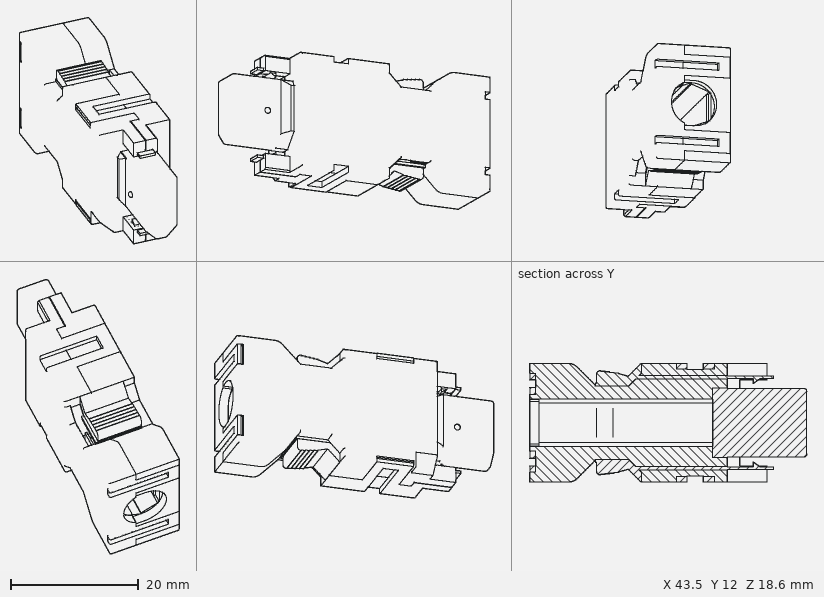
import cadquery as cq
import math

HALF_Y = 6.0
HALF_Z = 9.3
HOUSING_LENGTH = 32.97
EDGE_FILLET = 0.3

RECESS_FLOOR_Z = 5.8
RECESS_FLOOR_START = 10.45
RECESS_FLOOR_END = 15.5
RECESS_WALL_X = 17.5
RECESS_WALL_Z = RECESS_FLOOR_Z + RECESS_WALL_X - RECESS_FLOOR_END
SHOULDER_RADIUS = 1.9

SPLIT_Y = 1.5
ARM_SPLIT_START = 31.0
ARM_GAP = 0.15

ARM_START = 30.45
ARM_END = 37.25
ARM_INNER_Z = 6.75
ARM_FRONT_Y = -2.05
ARM_BACK_Y = 2.0
ARM_CHAMFER = 0.25

TAB_TIP_Y = -5.9
TAB_THICKNESS = 0.95
TAB_TIP_THICKNESS = 0.55
SIDE_TAB_START = 22.95
SIDE_TAB_END = 29.0
SIDE_SLOT_START = 24.7
SIDE_SLOT_END = 27.25
SIDE_SLOT_Y = -3.75
END_TAB_LOW = 4.4
END_TAB_HIGH = 7.8
END_SLOT_LOW = 5.55
END_SLOT_HIGH = 6.75
END_SLOT_Y = -4.05

CABLE_HOLE_RADIUS = 3.65
CABLE_HOLE_CENTER_Y = -0.05
CABLE_HOLE_DEPTH = 1.5
CHANNEL_FLAT_Y = 2.83
CHANNEL_BACK_Y = 3.35
CHANNEL_SIDE_Z = 2.35
CHANNEL_FRONT_PEAK_Z = 3.45
CHANNEL_BACK_PEAK_Z = 3.7
CHANNEL_FILLET = 0.65
CHANNEL_MOUTH_Y = 3.18
CHANNEL_MOUTH_END = 3.05

RELIEF_BACK_Y = 5.05
RELIEF_RAMP_START = 13.05
RELIEF_RAMP_Z = 5.18
RELIEF_RAMP_RADIUS = 5.8
RELIEF_WEB_FRONT = 4.18
RELIEF_WEB_BACK = 4.52

CORNER_BEVEL_START = 29.4
CORNER_BEVEL = 2.5

GRIP_FRONT_Y = -4.0
GRIP_BACK_Y = 3.45
PLATE_FRONT_Y = -4.05
PLATE_BACK_Y = 3.85
PLATE_TOP_Z = 6.2
PLATE_START = 10.3
GRIP_START = 10.5
GRIP_TOP_Z = 8.18
GRIP_FILLET = 0.6
FIRST_STEP_X = 11.15
STEP_LENGTH = 0.7
STEP_DROP = 0.1
STEP_COUNT = 5
GRIP_END_Z = HALF_Z - (RECESS_WALL_X - RECESS_FLOOR_END)
BEAM_START = 16.1
BEAM_LOW_Z = 6.9
BEAM_HIGH_Z = 7.35
BEAM_END = 38.3
BEAM_FRONT_Y = -1.4
BEAM_BACK_Y = 1.2
HOOK_START = 35.05
HOOK_END = 36.2
HOOK_TIP_Z = 6.15

PLUG_START = 28.7
PLUG_END = 43.5
PLUG_CENTER_Y = 0.2
PLUG_HALF_Y = 2.7
PLUG_TOP_Z = 5.4
PLUG_BOTTOM_Z = -5.4
PLUG_BEVEL = 1.85
PLUG_FILLET = 0.4
PLUG_END_FILLET = 0.52
COLLAR_RISE = 0.52
COLLAR_FLAT_END = 33.5
COLLAR_END = 35.0
COLLAR_TOP_Z = 5.3
COLLAR_TOP_DROP = 0.85
BUMP_X = 37.32
BUMP_RADIUS = 0.5


def block(x_range, y_range, z_range):
    """Box between the given pairs of X, Y and Z limits."""
    corner = (x_range[0], y_range[0], z_range[0])
    size = (x_range[1] - x_range[0], y_range[1] - y_range[0], z_range[1] - z_range[0])
    return cq.Workplane("XY").box(*size, centered=False).translate(corner)


def across(outline, y_front, y_back):
    """Extrude a closed XZ outline between two Y positions."""
    return outline.extrude(y_front - y_back).translate((0, y_front, 0))


def xz_polygon(points):
    """Closed polygon in the XZ plane."""
    return cq.Workplane("XZ").polyline(points).close()


def flipped(body):
    """Mirror image of a body below the Z = 0 plane."""
    return body.mirror("XY")


def both_sides(body):
    """A body together with its mirror image below the Z = 0 plane."""
    return body.union(flipped(body))




def make_housing_block():
    """Filleted block with a finger recess in its upper and lower edges."""
    corner_x = RECESS_FLOOR_START - (HALF_Z - RECESS_FLOOR_Z)
    tangent = SHOULDER_RADIUS * math.tan(math.radians(22.5))
    drop = tangent * math.sqrt(0.5)
    outline = (
        cq.Workplane("XZ")
        .lineTo(0, HALF_Z)
        .lineTo(corner_x - tangent, HALF_Z)
        .tangentArcPoint((corner_x + drop, HALF_Z - drop), relative=False)
        .lineTo(RECESS_FLOOR_START, RECESS_FLOOR_Z)
        .lineTo(RECESS_FLOOR_END, RECESS_FLOOR_Z)
        .lineTo(RECESS_WALL_X, RECESS_WALL_Z)
        .lineTo(RECESS_WALL_X, HALF_Z)
        .lineTo(HOUSING_LENGTH, HALF_Z)
        .lineTo(HOUSING_LENGTH, 0)
        .close()
    )
    housing = both_sides(across(outline, -HALF_Y, HALF_Y))
    return housing.faces("<Y or >Y").edges().fillet(EDGE_FILLET)


def make_arms():
    """Upper and lower arms beside the plug, with a chamfered outer back edge."""
    arm = block((ARM_START, ARM_END), (ARM_FRONT_Y, ARM_BACK_Y), (ARM_INNER_Z, HALF_Z))
    return both_sides(arm.edges("|X and >Y and >Z").chamfer(ARM_CHAMFER))


def make_slots():
    """Slots from the back face, across the tabs, in the cable end and both edges."""
    end_slot = block((0, TAB_THICKNESS), (END_SLOT_Y, HALF_Y), (END_SLOT_LOW, END_SLOT_HIGH))
    side_slot = block(
        (SIDE_SLOT_START, SIDE_SLOT_END), (SIDE_SLOT_Y, HALF_Y), (HALF_Z - TAB_THICKNESS, HALF_Z)
    )
    return both_sides(end_slot.union(side_slot))


def make_cable_passage():
    """Round cable hole with a recessed mouth that opens into an angular channel leading to the plug."""
    hole = cq.Workplane("YZ").center(CABLE_HOLE_CENTER_Y, 0).circle(CABLE_HOLE_RADIUS)
    hole = hole.extrude(CABLE_HOLE_DEPTH)
    channel = (
        cq.Workplane("YZ", origin=(CABLE_HOLE_DEPTH, 0, 0))
        .polyline([
            (-CHANNEL_FLAT_Y, -CHANNEL_SIDE_Z),
            (0, -CHANNEL_FRONT_PEAK_Z),
            (0, -CHANNEL_BACK_PEAK_Z),
            (CHANNEL_BACK_Y, -CHANNEL_SIDE_Z),
            (CHANNEL_BACK_Y, CHANNEL_SIDE_Z),
            (0, CHANNEL_BACK_PEAK_Z),
            (0, CHANNEL_FRONT_PEAK_Z),
            (-CHANNEL_FLAT_Y, CHANNEL_SIDE_Z),
        ])
        .close()
        .extrude(PLUG_START - CABLE_HOLE_DEPTH)
    )
    channel = channel.edges("|X and >Y").fillet(CHANNEL_FILLET)
    mouth = block(
        (CABLE_HOLE_DEPTH, CHANNEL_MOUTH_END),
        (-CHANNEL_MOUTH_Y, 0),
        (-CHANNEL_SIDE_Z, CHANNEL_SIDE_Z),
    )
    return hole.union(channel).union(mouth)


def make_hole_straight_sides():
    """Straight-sided end of the front shell's half of the cable hole, up to the split."""
    return block(
        (0, CABLE_HOLE_DEPTH), (CABLE_HOLE_CENTER_Y, SPLIT_Y), (-CABLE_HOLE_RADIUS, CABLE_HOLE_RADIUS)
    )


def make_latch_relief():
    """Openings behind the grips: a slot through the housing and a curved ramp on each side."""
    through = block(
        (GRIP_START, RELIEF_RAMP_START), (GRIP_BACK_Y, RELIEF_BACK_Y), (-HALF_Z, HALF_Z)
    )
    web = block(
        (GRIP_START, RELIEF_RAMP_START), (RELIEF_WEB_FRONT, RELIEF_WEB_BACK), (-HALF_Z, HALF_Z)
    )
    run = RECESS_WALL_X - RELIEF_RAMP_START
    rise = RELIEF_RAMP_RADIUS - math.sqrt(RELIEF_RAMP_RADIUS**2 - run**2)
    outline = (
        cq.Workplane("XZ")
        .moveTo(RELIEF_RAMP_START, HALF_Z)
        .lineTo(RELIEF_RAMP_START, RELIEF_RAMP_Z)
        .radiusArc((RECESS_WALL_X, RELIEF_RAMP_Z + rise), -RELIEF_RAMP_RADIUS)
        .lineTo(RECESS_WALL_X, HALF_Z)
        .close()
    )
    ramp = across(outline, GRIP_BACK_Y, RELIEF_BACK_Y)
    return through.cut(web).union(both_sides(ramp))




def make_tabs():
    """Four back-shell tabs whose inner faces taper towards the tip."""
    taper = TAB_THICKNESS - TAB_TIP_THICKNESS
    end_profile = [
        (0, SPLIT_Y),
        (0, TAB_TIP_Y),
        (TAB_TIP_THICKNESS, TAB_TIP_Y),
        (TAB_THICKNESS, TAB_TIP_Y + taper),
        (TAB_THICKNESS, SPLIT_Y),
    ]
    end_tab = (
        cq.Workplane("XY", origin=(0, 0, END_TAB_LOW))
        .polyline(end_profile)
        .close()
        .extrude(END_TAB_HIGH - END_TAB_LOW)
    )
    side_profile = [(y, HALF_Z - depth) for depth, y in end_profile]
    side_tab = (
        cq.Workplane("YZ", origin=(SIDE_TAB_START, 0, 0))
        .polyline(side_profile)
        .close()
        .extrude(SIDE_TAB_END - SIDE_TAB_START)
    )
    return both_sides(end_tab.union(side_tab))


def make_tab_notches():
    """Front-shell notches that receive the tabs."""
    end_notch = block((0, TAB_THICKNESS), (-HALF_Y, SPLIT_Y), (END_TAB_LOW, END_TAB_HIGH))
    side_notch = block(
        (SIDE_TAB_START, SIDE_TAB_END), (-HALF_Y, SPLIT_Y), (HALF_Z - TAB_THICKNESS, HALF_Z)
    )
    return both_sides(end_notch.union(side_notch))




def make_latch():
    """Upper latch: base plate, stepped grip with a ramp, and a hooked beam."""
    plate_rise = PLATE_TOP_Z - RECESS_FLOOR_Z
    plate = across(
        xz_polygon([
            (PLATE_START, RECESS_FLOOR_Z),
            (PLATE_START, PLATE_TOP_Z),
            (RECESS_FLOOR_END + plate_rise, PLATE_TOP_Z),
            (RECESS_FLOOR_END, RECESS_FLOOR_Z),
        ]),
        PLATE_FRONT_Y,
        PLATE_BACK_Y,
    )

    steps = []
    for i in range(STEP_COUNT):
        step_x = FIRST_STEP_X + i * STEP_LENGTH
        steps.append((step_x, GRIP_TOP_Z - i * STEP_DROP))
        steps.append((step_x, GRIP_TOP_Z - (i + 1) * STEP_DROP))
    grip_points = [
        (GRIP_START, RECESS_FLOOR_Z),
        (GRIP_START, GRIP_TOP_Z),
        *steps,
        (RECESS_FLOOR_END, GRIP_END_Z),
        (RECESS_WALL_X, HALF_Z),
        (RECESS_WALL_X, RECESS_WALL_Z),
        (RECESS_FLOOR_END, RECESS_FLOOR_Z),
    ]
    grip = across(xz_polygon(grip_points), GRIP_FRONT_Y, GRIP_BACK_Y)
    grip = grip.edges(cq.NearestToPointSelector((GRIP_START, 0, GRIP_TOP_Z))).fillet(GRIP_FILLET)

    beam = block((BEAM_START, BEAM_END), (BEAM_FRONT_Y, BEAM_BACK_Y), (BEAM_LOW_Z, BEAM_HIGH_Z))
    hook = across(
        xz_polygon([(HOOK_START, BEAM_LOW_Z), (HOOK_START, HOOK_TIP_Z), (HOOK_END, BEAM_LOW_Z)]),
        BEAM_FRONT_Y,
        BEAM_BACK_Y,
    )
    return plate.union(grip).union(beam.union(hook))




def plug_section(half_y, bevel, upper_points):
    """Symmetric YZ outline with bevelled lower corners and the given upper points on its +Y half."""
    half_outline = [
        (half_y - bevel, PLUG_BOTTOM_Z),
        (half_y, PLUG_BOTTOM_Z + bevel),
        *upper_points,
    ]
    mirrored = [(-y, z) for y, z in reversed(half_outline)]
    return cq.Workplane("YZ").polyline(half_outline + mirrored).close()


def make_plug():
    """Plug shell with a flared collar at the housing and a round bump on each broad side."""
    body_section = plug_section(PLUG_HALF_Y, PLUG_BEVEL, [(PLUG_HALF_Y, PLUG_TOP_Z)])
    body = body_section.extrude(PLUG_END - PLUG_START).translate((PLUG_START, 0, 0))
    body = body.edges("|X").fillet(PLUG_FILLET)
    body = body.faces(">X").edges().fillet(PLUG_END_FILLET)

    collar_half_y = PLUG_HALF_Y + COLLAR_RISE
    flare = (
        cq.Workplane("XY", origin=(0, 0, PLUG_BOTTOM_Z))
        .polyline([
            (PLUG_START, -collar_half_y),
            (COLLAR_FLAT_END, -collar_half_y),
            (COLLAR_END, -PLUG_HALF_Y),
            (COLLAR_END, PLUG_HALF_Y),
            (COLLAR_FLAT_END, collar_half_y),
            (PLUG_START, collar_half_y),
        ])
        .close()
        .extrude(PLUG_TOP_Z - PLUG_BOTTOM_Z)
    )
    collar_section = plug_section(
        collar_half_y,
        PLUG_BEVEL + COLLAR_RISE,
        [(collar_half_y, COLLAR_TOP_Z - COLLAR_TOP_DROP), (PLUG_HALF_Y, COLLAR_TOP_Z)],
    )
    collar = collar_section.extrude(PLUG_END).intersect(flare)

    plug = body.union(collar)
    for side_y in (-PLUG_HALF_Y, PLUG_HALF_Y):
        plug = plug.union(cq.Workplane("XY").sphere(BUMP_RADIUS).translate((BUMP_X, side_y, 0)))
    return plug.translate((0, PLUG_CENTER_Y, 0))




def make_shells(inserts):
    """Back and front shells, hollowed to fit the inserted bodies."""
    housing = make_housing_block().union(make_arms())
    back_side = block((0, ARM_END), (SPLIT_Y, HALF_Y), (-HALF_Z, HALF_Z))
    back_side = back_side.union(
        block((ARM_SPLIT_START, ARM_END), (ARM_GAP / 2, HALF_Y), (-HALF_Z, HALF_Z))
    )
    arm_gap = block((ARM_SPLIT_START, ARM_END), (-ARM_GAP / 2, ARM_GAP / 2), (-HALF_Z, HALF_Z))
    corner_bevel = (
        cq.Workplane("YZ", origin=(CORNER_BEVEL_START, 0, 0))
        .polyline([
            (-HALF_Y, -HALF_Z),
            (CORNER_BEVEL - HALF_Y, -HALF_Z),
            (-HALF_Y, CORNER_BEVEL - HALF_Z),
        ])
        .close()
        .extrude(HOUSING_LENGTH - CORNER_BEVEL_START)
    )

    back = housing.intersect(back_side).union(make_tabs())
    front = housing.cut(back_side).cut(arm_gap).cut(make_tab_notches()).cut(corner_bevel)
    front = front.cut(make_hole_straight_sides())

    cavities = [make_slots(), make_cable_passage(), make_latch_relief(), *inserts]
    for cavity in cavities:
        back = back.cut(cavity)
        front = front.cut(cavity)
    return back, front


upper_latch = make_latch()
latches = [upper_latch, flipped(upper_latch)]
plug = make_plug()
back_shell, front_shell = make_shells([plug, *latches])

result = cq.Compound.makeCompound([
    back_shell.solids().val(),
    front_shell.solids().val(),
    plug.solids().val(),
    *[latch.solids().val() for latch in latches],
])